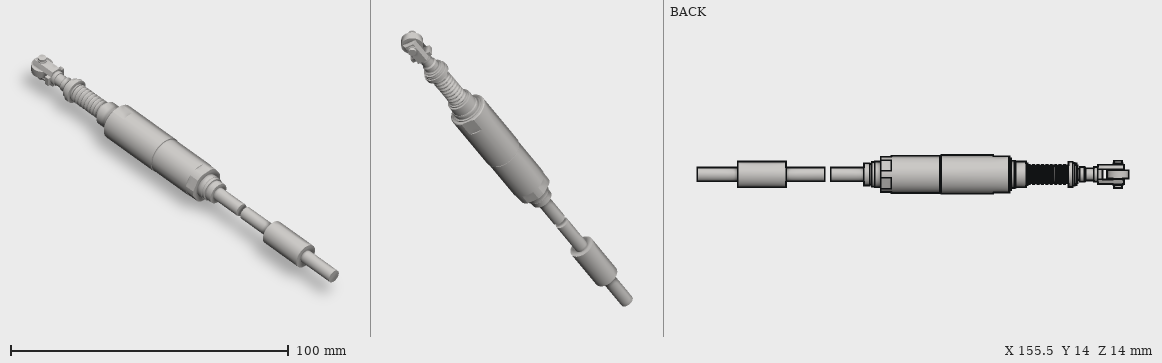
import cadquery as cq
import math

LENGTH = 155.5

ROLLER_DIA = 8.0
ROLLER_WIDTH = 3.1
FORK_START = 1.7
FORK_END = 11.2
FORK_HEIGHT = 7.0
ARM_OUTER_WIDTH = 3.4
ARM_INNER_WIDTH = 5.3
BRIDGE_START = 9.5
BRIDGE_WIDTH = 8.0
BRIDGE_HEIGHT = 3.5
PIN_DIA = 3.0
PIN_LENGTH = 10.0
WASHER_DIA = ARM_OUTER_WIDTH
WASHER_SPAN = 8.0

STEM_COLLAR_DIA = 5.5
STEM_NECK_DIA = 4.5
STEM_TIP_DIA = 4.2
FRONT_COLLAR_END = 12.6
NECK_END = 15.5
REAR_COLLAR_START = 16.0
REAR_COLLAR_END = 17.7

BOOT_START = 18.3
CUFF_DIA = 6.5
FRONT_CUFF_END = 18.8
FRONT_RING_DIA = 8.0
FRONT_RING_END = 19.5
MIDDLE_RING_DIA = 8.2
MIDDLE_RING_END = 20.2
BOOT_RING_DIA = 9.2
BOOT_RING_END = 21.8
CREST_DIA = 7.0
VALLEY_DIA = 5.8
CREST_FLAT = 0.5
CREST_COUNT = 9
FOLDS_START = 22.4
FOLDS_END = 36.7
CREST_PITCH = (FOLDS_END - FOLDS_START) / CREST_COUNT
REAR_RING_START = 36.4
REAR_RING_DIA = 8.0

NOSE_START = 37.0
NOSE_DIA = 9.3
NOSE_RING_DIA = 10.0
NOSE_RING_START = 40.7
NOSE_RING_CONE_DIA = 9.6
NOSE_RING_CONE_END = 41.2

HOUSING_DIA = 14.0
HOUSING_START = 42.5
HOUSING_LIP_DIA = 11.5
BARREL_START = 42.9
BARREL_CHAMFER = 0.3
SEAM_START = 67.6
SEAM_END = 68.1
SEAM_DIA = 13.0
REAR_BARREL_DIA = 13.5
HOUSING_END = 89.4
FRONT_FLAT_SPACING = 13.0
FRONT_FLAT_END = 48.8
REAR_FLAT_SPACING = 12.7
REAR_FLAT_START = 85.5
REAR_FLAT_COUNT = 6

TAIL_DIA = 9.3
TAIL_COLLAR_END = 91.5
TAIL_LIP_DIA = 9.0
TAIL_LIP_END = 92.7
TAIL_GROOVE_DIA = 7.6
TAIL_GROOVE_END = 93.3
GLAND_DIA = 8.1
GLAND_END = 95.5

CABLE_DIA = 5.0
CABLE_END = 107.5
FAR_CABLE_START = 109.5
SLEEVE_START = 123.5
SLEEVE_END = 140.8
SLEEVE_DIA = 9.3


def rod(diameter, start, end):
    """Cylinder along X from start to end."""
    return cq.Workplane("YZ", origin=(start, 0, 0)).circle(diameter / 2).extrude(end - start)


def pillar(diameter, height):
    """Cylinder along Z on the roller axis, centred on the X axis."""
    return (
        cq.Workplane("XY", origin=(ROLLER_DIA / 2, 0, -height / 2))
        .circle(diameter / 2)
        .extrude(height)
    )


def block(start, end, width, height):
    """Box from start to end along X, centred on the X axis."""
    return cq.Workplane("YZ", origin=(start, 0, 0)).rect(width, height).extrude(end - start)


def revolve_about_x(profile):
    """Solid of revolution about X from (x, radius) points; closed along the axis."""
    points = [(profile[0][0], 0), *profile, (profile[-1][0], 0)]
    return cq.Workplane("XY").polyline(points).close().revolve(360, (0, 0, 0), (1, 0, 0))


def fork():
    """Two arms with sloping sides, joined at the rear by a wider bridge."""
    inner_z = BRIDGE_HEIGHT / 2
    outer_z = FORK_HEIGHT / 2
    upper_arm = (
        cq.Workplane("YZ", origin=(FORK_START, 0, 0))
        .moveTo(-ARM_INNER_WIDTH / 2, inner_z)
        .lineTo(ARM_INNER_WIDTH / 2, inner_z)
        .lineTo(ARM_OUTER_WIDTH / 2, outer_z)
        .lineTo(-ARM_OUTER_WIDTH / 2, outer_z)
        .close()
        .extrude(FORK_END - FORK_START)
    )
    bridge = block(BRIDGE_START, FORK_END, BRIDGE_WIDTH, BRIDGE_HEIGHT)
    return bridge.union(upper_arm).union(upper_arm.mirror("XY"))


def roller_on_pin():
    """Roller between the fork arms, with the pin and its washers."""
    roller = pillar(ROLLER_DIA, ROLLER_WIDTH)
    return roller.union(pillar(WASHER_DIA, WASHER_SPAN)).union(pillar(PIN_DIA, PIN_LENGTH))


def stem():
    """Stepped stem that joins the fork to the boot, with a cone before its rear collar."""
    return revolve_about_x([
        (FORK_END, STEM_COLLAR_DIA / 2),
        (FRONT_COLLAR_END, STEM_COLLAR_DIA / 2),
        (FRONT_COLLAR_END, STEM_NECK_DIA / 2),
        (NECK_END, STEM_NECK_DIA / 2),
        (REAR_COLLAR_START, STEM_COLLAR_DIA / 2),
        (REAR_COLLAR_END, STEM_COLLAR_DIA / 2),
        (REAR_COLLAR_END, STEM_TIP_DIA / 2),
        (BOOT_START, STEM_TIP_DIA / 2),
    ])


def boot_folds():
    """Row of flat-topped folds with V-shaped valleys between them."""
    profile = []
    for i in range(CREST_COUNT):
        valley_x = FOLDS_START + i * CREST_PITCH
        crest_x = valley_x + CREST_PITCH / 2
        profile.append((valley_x, VALLEY_DIA / 2))
        profile.append((crest_x - CREST_FLAT / 2, CREST_DIA / 2))
        profile.append((crest_x + CREST_FLAT / 2, CREST_DIA / 2))
    profile.append((FOLDS_END, VALLEY_DIA / 2))
    return revolve_about_x(profile)


def boot():
    """Folded boot with stepped rings in front of the folds and one ring behind them."""
    sections = [
        (CUFF_DIA, BOOT_START, FRONT_CUFF_END),
        (FRONT_RING_DIA, FRONT_CUFF_END, FRONT_RING_END),
        (MIDDLE_RING_DIA, FRONT_RING_END, MIDDLE_RING_END),
        (BOOT_RING_DIA, MIDDLE_RING_END, BOOT_RING_END),
        (CUFF_DIA, BOOT_RING_END, FOLDS_START),
        (REAR_RING_DIA, REAR_RING_START, NOSE_START),
    ]
    boot_body = boot_folds()
    for diameter, start, end in sections:
        boot_body = boot_body.union(rod(diameter, start, end))
    return boot_body


def housing():
    """Main barrel with nose, front lip, seam groove and wrench flats."""
    nose = rod(NOSE_DIA, NOSE_START, HOUSING_START)
    nose_ring = revolve_about_x([
        (NOSE_RING_START, NOSE_RING_CONE_DIA / 2),
        (NOSE_RING_CONE_END, NOSE_RING_DIA / 2),
        (HOUSING_START, NOSE_RING_DIA / 2),
    ])
    barrel = revolve_about_x([
        (HOUSING_START, HOUSING_LIP_DIA / 2),
        (BARREL_START, HOUSING_LIP_DIA / 2),
        (BARREL_START, HOUSING_DIA / 2 - BARREL_CHAMFER),
        (BARREL_START + BARREL_CHAMFER, HOUSING_DIA / 2),
        (SEAM_START, HOUSING_DIA / 2),
        (SEAM_START, SEAM_DIA / 2),
        (SEAM_END, SEAM_DIA / 2),
        (SEAM_END, REAR_BARREL_DIA / 2),
        (HOUSING_END, REAR_BARREL_DIA / 2),
    ])

    front_section = rod(HOUSING_DIA, HOUSING_START, FRONT_FLAT_END)
    front_flats = front_section.cut(
        block(HOUSING_START, FRONT_FLAT_END, HOUSING_DIA, FRONT_FLAT_SPACING)
    )

    hexagon_corner_dia = REAR_FLAT_SPACING / math.cos(math.pi / REAR_FLAT_COUNT)
    hexagon = (
        cq.Workplane("YZ", origin=(REAR_FLAT_START, 0, 0))
        .polygon(REAR_FLAT_COUNT, hexagon_corner_dia)
        .extrude(HOUSING_END - REAR_FLAT_START)
    )
    rear_flats = rod(HOUSING_DIA, REAR_FLAT_START, HOUSING_END).cut(hexagon)

    barrel = barrel.cut(front_flats).cut(rear_flats)
    return nose.union(nose_ring).union(barrel)


def tail():
    """Grooved tail of the housing and the cable leaving it."""
    collar = rod(TAIL_DIA, HOUSING_END, TAIL_COLLAR_END)
    lip = rod(TAIL_LIP_DIA, TAIL_COLLAR_END, TAIL_LIP_END)
    groove = rod(TAIL_GROOVE_DIA, TAIL_LIP_END, TAIL_GROOVE_END)
    gland = rod(GLAND_DIA, TAIL_GROOVE_END, GLAND_END)
    cable = rod(CABLE_DIA, GLAND_END, CABLE_END)
    return collar.union(lip).union(groove).union(gland).union(cable)


def make_plunger_switch():
    """Roller plunger, boot, housing and near length of cable as one body."""
    return fork().union(roller_on_pin()).union(stem()).union(boot()).union(housing()).union(tail())


def make_cable_end():
    """Far length of cable with its sleeve, separated from the rest by a gap."""
    cable = rod(CABLE_DIA, FAR_CABLE_START, LENGTH)
    return cable.union(rod(SLEEVE_DIA, SLEEVE_START, SLEEVE_END))


plunger_switch = make_plunger_switch()
cable_end = make_cable_end()

result = cq.Compound.makeCompound([plunger_switch.val(), cable_end.val()])